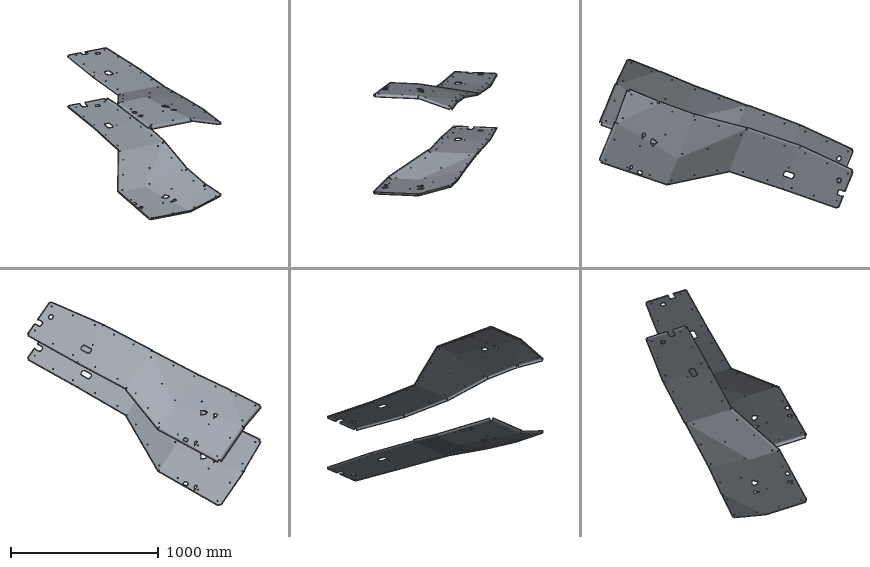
import cadquery as cq
import math


SHEET = 2.0

X_START = 0.0
X_KNEE = 390.0
X_NECK = 780.0
X_SHOULDER = 1153.0
X_END = 1630.0

Z_ARM = 194.0
Z_NECK = 212.0
Z_SHOULDER = 332.0
Z_END = 345.0

Y_ARM_FRONT = 0.0
Y_WIDE_FRONT = -190.0
Y_RIDGE_SHOULDER = 7.0
Y_RIDGE_END = 108.0

Y_START_REAR = 275.0
Y_KNEE_REAR = 317.0
Y_NECK_REAR = 320.0
Y_SHOULDER_REAR = 309.0
Z_SHOULDER_REAR = 265.0
X_TIP = 1407.0
Y_TIP_REAR = 319.0
Y_END_REAR = 330.0
Z_END_REAR = 275.0

LIP_ARM = 11.1
LIP_REAR = 14.1
LIP_WIDE = 15.8
LIP_END_FRONT = 18.0
LIP_END_REAR = 15.0
RELIEF_NECK = 5.0
RELIEF_TIP = 15.0

SCREW_DIAMETER = 5.0
SLOT_Y = 106.0
SLOT_HEIGHT = 40.0
SLOT_CORNER = 12.0
FOLD_SLOT_LENGTH = 70.0
NOTCH_DEPTH = 35.0
OVAL_CENTRE = (58.0, 188.0)
OVAL_LENGTH = 35.0
OVAL_WIDTH = 27.0
CUT_TOP = 498.0

SCREWS = [
    (20.0, 257.0), (180.0, 277.0), (342.0, 292.0), (493.0, 297.0), (645.0, 302.0),
    (967.0, 294.0), (1137.0, 289.0), (1305.0, 294.0), (1457.0, 304.0), (1606.0, 314.0),
    (410.0, 156.0), (800.0, 275.0), (984.0, 121.0), (1137.0, 45.0),
    (1293.0, 135.0), (1429.0, 3.0), (1606.0, 151.0), (1606.0, -10.0),
    (20.0, 43.0), (178.0, 23.0), (337.0, 23.0), (513.0, 23.0), (690.0, 23.0),
    (861.0, -17.0), (999.0, -86.0), (1137.0, -160.0), (1291.0, -171.0), (1452.0, -171.0), (1606.0, -171.0),
]

RIDGE_WINDOW = [(1326.0, 66.0), (1357.0, 81.0), (1372.0, 78.0), (1370.0, 55.0), (1345.0, 33.0), (1340.0, 50.0)]
RIDGE_SLIT = [(1424.0, 100.0), (1440.0, 100.0), (1440.0, 83.0), (1434.0, 58.0), (1429.0, 78.0), (1419.0, 86.0)]
FRONT_SLIT = [(1424.0, -150.0), (1434.0, -150.0), (1434.0, -188.0), (1427.0, -173.0), (1419.0, -165.0)]
FRONT_WINDOW_X = (1344.0, 1374.0)
FRONT_WINDOW_TOP = -165.0
FRONT_WINDOW_CORNER = 10.0


def rear_slope_height(x, y):
    """Height of the sloping rear panel, a plane through the ridge and the rear shoulder corner."""
    slope_y = (Z_SHOULDER - Z_SHOULDER_REAR) / (Y_RIDGE_SHOULDER - Y_SHOULDER_REAR)
    ridge_rise = Z_END - Z_SHOULDER - slope_y * (Y_RIDGE_END - Y_RIDGE_SHOULDER)
    slope_x = ridge_rise / (X_END - X_SHOULDER)
    return Z_SHOULDER + slope_x * (x - X_SHOULDER) + slope_y * (y - Y_RIDGE_SHOULDER)


start_front = cq.Vector(X_START, Y_ARM_FRONT, Z_ARM)
start_rear = cq.Vector(X_START, Y_START_REAR, Z_ARM)
knee_front = cq.Vector(X_KNEE, Y_ARM_FRONT, Z_ARM)
knee_rear = cq.Vector(X_KNEE, Y_KNEE_REAR, Z_ARM)
neck_front = cq.Vector(X_NECK, Y_ARM_FRONT, Z_NECK)
neck_rear = cq.Vector(X_NECK, Y_NECK_REAR, Z_NECK)
shoulder_front = cq.Vector(X_SHOULDER, Y_WIDE_FRONT, Z_SHOULDER)
shoulder_ridge = cq.Vector(X_SHOULDER, Y_RIDGE_SHOULDER, Z_SHOULDER)
shoulder_rear = cq.Vector(X_SHOULDER, Y_SHOULDER_REAR, Z_SHOULDER_REAR)
end_front = cq.Vector(X_END, Y_WIDE_FRONT, Z_END)
end_ridge = cq.Vector(X_END, Y_RIDGE_END, Z_END)
end_rear = cq.Vector(X_END, Y_END_REAR, Z_END_REAR)
tip_rear = cq.Vector(X_TIP, Y_TIP_REAR, rear_slope_height(X_TIP, Y_TIP_REAR))

ARM_OUTER = [start_front, knee_front, knee_rear, start_rear]
ARM_INNER = [knee_front, neck_front, neck_rear, knee_rear]
FRONT_RAMP = [neck_front, shoulder_front, shoulder_ridge, neck_rear]
REAR_RAMP = [neck_rear, shoulder_ridge, shoulder_rear]
FRONT_WIDE = [shoulder_front, end_front, end_ridge, shoulder_ridge]
REAR_WIDE = [shoulder_ridge, end_ridge, tip_rear, shoulder_rear]
CORNER = [end_ridge, end_rear, tip_rear]
PANELS = [ARM_OUTER, ARM_INNER, FRONT_RAMP, REAR_RAMP, FRONT_WIDE, REAR_WIDE, CORNER]

LIPS = [
    (ARM_OUTER, start_rear, start_front, LIP_ARM, 0, 0),
    (ARM_OUTER, start_front, knee_front, LIP_ARM, 0, 0),
    (ARM_INNER, knee_front, neck_front, LIP_ARM, 0, 0),
    (FRONT_RAMP, neck_front, shoulder_front, LIP_WIDE, 0, 0),
    (FRONT_WIDE, shoulder_front, end_front, LIP_WIDE, 0, 0),
    (FRONT_WIDE, end_front, end_ridge, LIP_END_FRONT, 0, 0),
    (CORNER, end_ridge, end_rear, LIP_END_REAR, 0, 0),
    (CORNER, end_rear, tip_rear, LIP_REAR, 0, RELIEF_TIP),
    (REAR_WIDE, tip_rear, shoulder_rear, LIP_REAR, 0, 0),
    (REAR_RAMP, shoulder_rear, neck_rear, LIP_REAR, 0, 0),
    (ARM_INNER, neck_rear, knee_rear, LIP_REAR, RELIEF_NECK, 0),
    (ARM_OUTER, knee_rear, start_rear, LIP_REAR, 0, 0),
]


def panel_solid(corners):
    """Flat panel with the given outer corners, thickened straight down."""
    face = cq.Face.makeFromWires(cq.Wire.makePolygon(corners, close=True))
    return cq.Solid.extrudeLinear(face, cq.Vector(0, 0, -SHEET))


def lip_solid(panel, edge_start, edge_end, radius, start_gap, end_gap):
    """Quarter-round lip along one panel edge, rooted a sheet thickness inside the panel."""
    normal = (panel[1] - panel[0]).cross(panel[2] - panel[1]).normalized()
    along = (edge_end - edge_start).normalized()
    outward = along.cross(normal)
    thickness = SHEET * normal.z
    origin = edge_start + along * start_gap
    length = (edge_end - edge_start).Length - start_gap - end_gap

    inner_radius = radius - thickness
    diagonal = math.sqrt(0.5)
    profile = (
        cq.Workplane(cq.Plane(origin, outward, along * -1))
        .moveTo(-SHEET, 0)
        .lineTo(0, 0)
        .threePointArc((radius * diagonal, radius * (diagonal - 1)), (radius, -radius))
        .lineTo(inner_radius, -radius)
        .threePointArc((inner_radius * diagonal, inner_radius * diagonal - radius), (0, -thickness))
        .lineTo(-SHEET, -thickness)
        .close()
    )
    return profile.extrude(-length).val()


def rounded_slot(x_min, x_max):
    """Round-cornered rectangular cutter centred on the arm's slot line."""
    return (
        cq.Workplane("XY")
        .center((x_min + x_max) / 2, SLOT_Y)
        .rect(x_max - x_min, SLOT_HEIGHT)
        .extrude(CUT_TOP)
        .edges("|Z")
        .fillet(SLOT_CORNER)
    )


def cutters():
    """All openings through the skin, cut straight along Z."""
    tools = [cq.Workplane("XY").pushPoints(SCREWS).circle(SCREW_DIAMETER / 2).extrude(CUT_TOP)]
    tools.append(rounded_slot(X_KNEE - FOLD_SLOT_LENGTH / 2, X_KNEE + FOLD_SLOT_LENGTH / 2))
    tools.append(rounded_slot(-NOTCH_DEPTH, NOTCH_DEPTH))
    tools.append(
        cq.Workplane("XY").center(*OVAL_CENTRE).slot2D(OVAL_LENGTH, OVAL_WIDTH, 90).extrude(CUT_TOP)
    )
    for outline in (RIDGE_WINDOW, RIDGE_SLIT, FRONT_SLIT):
        tools.append(cq.Workplane("XY").polyline(outline).close().extrude(CUT_TOP))
    left, right = FRONT_WINDOW_X
    tools.append(
        cq.Workplane("XY")
        .moveTo(left, Y_WIDE_FRONT)
        .lineTo(right, Y_WIDE_FRONT)
        .lineTo(right, FRONT_WINDOW_TOP)
        .lineTo(left, FRONT_WINDOW_TOP)
        .close()
        .extrude(CUT_TOP)
        .edges("|Z and >Y")
        .fillet(FRONT_WINDOW_CORNER)
    )
    return tools


def upper_skin():
    pieces = [panel_solid(corners) for corners in PANELS]
    pieces += [lip_solid(*lip) for lip in LIPS]
    skin = cq.Workplane(pieces[0].fuse(*pieces[1:]).clean())
    for tool in cutters():
        skin = skin.cut(tool)
    return skin


top_skin = upper_skin()
bottom_skin = top_skin.mirror("XY")

result = cq.Compound.makeCompound([*top_skin.vals(), *bottom_skin.vals()])